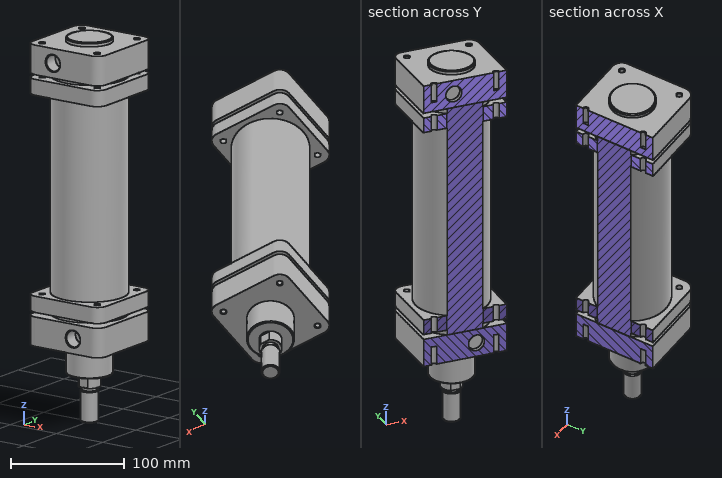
import cadquery as cq

total_height = 351.0
end_block_side = 80.0
corner_radius = 10.0
cap_height = 27.0
flange_height = 14.7
flange_gap = 4.2
top_boss_height = 4.0
bottom_boss_height = 28.0
rod_length = 44.0

barrel_diameter = 69.0
boss_diameter = 41.8
boss_chamfer = 1.0

screw_spacing = 59.5
flange_hole_diameter = 5.3
cap_hole_diameter = 4.5
cap_hole_depth = 17.5
cap_hole_chamfer = 0.53

port_diameter = 14.7
port_offset = 11.0
port_depth = 14.0
port_chamfer = 0.7

rod_diameter = 20.0
flat_width = 18.0
flat_height = 11.0
neck_diameter = 14.0
neck_height = 3.0
thread_diameter = 16.0
thread_length = 29.0
thread_chamfer = 1.0

bottom_cap_base = rod_length + bottom_boss_height
barrel_base = bottom_cap_base + cap_height
bottom_flange_base = barrel_base + flange_gap
top_cap_base = total_height - top_boss_height - cap_height
barrel_length = top_cap_base - barrel_base
top_flange_base = top_cap_base - flange_gap - flange_height
neck_top = thread_length + neck_height


def square_block(base, height):
    """Square block with rounded vertical corners, standing on the given level."""
    return (
        cq.Workplane("XY", origin=(0, 0, base))
        .rect(end_block_side, end_block_side)
        .extrude(height)
        .edges("|Z")
        .fillet(corner_radius)
    )


def cylinder(diameter, base, height):
    return cq.Workplane("XY", origin=(0, 0, base)).circle(diameter / 2).extrude(height)


def chamfered_bore(diameter, depth, chamfer):
    """Cutter for a blind hole with its mouth at Z = 0, running down along -Z."""
    radius = diameter / 2
    profile = [
        (0, 0),
        (radius + chamfer, 0),
        (radius, -chamfer),
        (radius, -depth),
        (0, -depth),
    ]
    return cq.Workplane("XZ").polyline(profile).close().revolve(360, (0, 0, 0), (0, 1, 0))


def make_cap(base, boss_height, port_x, points_up):
    """End cap with a boss, four screw holes in the boss side and a port in the -Y face."""
    cap = square_block(base, cap_height)
    if points_up:
        outer_face = base + cap_height
        boss = cylinder(boss_diameter, outer_face, boss_height)
        boss = boss.faces(">Z").chamfer(boss_chamfer)
        hole_tilt = 0
    else:
        outer_face = base
        boss = cylinder(boss_diameter, outer_face - boss_height, boss_height)
        boss = boss.faces("<Z").chamfer(boss_chamfer)
        hole_tilt = 180
    cap = cap.union(boss)

    screw_hole = chamfered_bore(cap_hole_diameter, cap_hole_depth, cap_hole_chamfer)
    screw_hole = screw_hole.rotate((0, 0, 0), (1, 0, 0), hole_tilt)
    for x in (-screw_spacing / 2, screw_spacing / 2):
        for y in (-screw_spacing / 2, screw_spacing / 2):
            cap = cap.cut(screw_hole.translate((x, y, outer_face)))

    port = chamfered_bore(port_diameter, port_depth, port_chamfer).rotate((0, 0, 0), (1, 0, 0), 90)
    return cap.cut(port.translate((port_x, -end_block_side / 2, base + cap_height / 2)))


def make_flange(base):
    """Square flange that fits around the barrel."""
    flange = square_block(base, flange_height)
    flange = flange.cut(cylinder(barrel_diameter, base, flange_height))
    screw_holes = (
        cq.Workplane("XY", origin=(0, 0, base))
        .rect(screw_spacing, screw_spacing, forConstruction=True)
        .vertices()
        .circle(flange_hole_diameter / 2)
        .extrude(flange_height)
    )
    return flange.cut(screw_holes)


def make_barrel():
    return cylinder(barrel_diameter, barrel_base, barrel_length)


def make_piston_rod():
    shank = cylinder(rod_diameter, neck_top, rod_length - neck_top)
    outside_flats = (
        cq.Workplane("XY", origin=(0, 0, neck_top))
        .rect(2 * rod_diameter, 2 * rod_diameter)
        .rect(2 * rod_diameter, flat_width)
        .extrude(flat_height)
    )
    neck = cylinder(neck_diameter, thread_length, neck_height)
    thread = cylinder(thread_diameter, 0, thread_length).faces("<Z or >Z").chamfer(thread_chamfer)
    return shank.cut(outside_flats).union(neck).union(thread)


top_cap = make_cap(top_cap_base, top_boss_height, -port_offset, points_up=True)
bottom_cap = make_cap(bottom_cap_base, bottom_boss_height, port_offset, points_up=False)
flanges = [make_flange(base) for base in (bottom_flange_base, top_flange_base)]
barrel = make_barrel()
piston_rod = make_piston_rod()

result = cq.Compound.makeCompound(
    [
        top_cap.val(),
        bottom_cap.val(),
        *[flange.val() for flange in flanges],
        barrel.val(),
        piston_rod.val(),
    ]
)